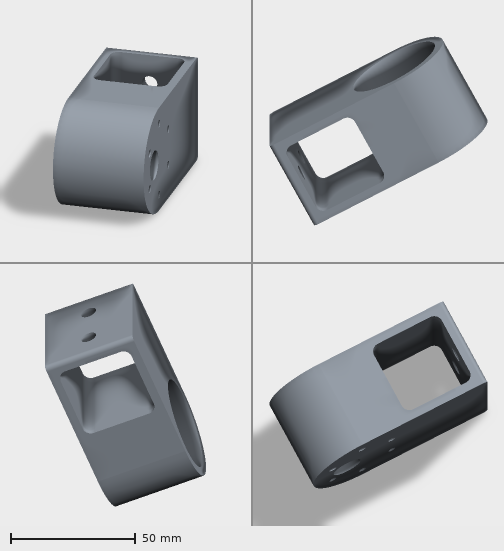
import cadquery as cq
import math

width = 38.0
length = 79.4
height = 44.8
nose_radius = height / 2
block_length = length - nose_radius
edge_fillet = 2.0

bore_diameter = 37.4
wall = 3.6
shaft_hole_diameter = 12.4
shaft_offset = 7.0
bolt_hole_diameter = 3.2
bolt_circle_radius = 15.5
bolt_count = 6

pocket_side = width - 2 * wall
pocket_end_wall = 4.5
pocket_corner_radius = 3.5
pocket_center_y = block_length - pocket_end_wall - pocket_side / 2
end_hole_diameter = 6.4
end_hole_height = 10.0


def side_cylinder(diameter, y, z, start_x, depth):
    """Cylinder along +X; the bore axis is at y = 0, z = 0."""
    return cq.Workplane("YZ", origin=(start_x, y, z)).circle(diameter / 2).extrude(depth)


body = (
    cq.Workplane("YZ", origin=(-width / 2, 0, 0))
    .moveTo(0, nose_radius)
    .lineTo(block_length, nose_radius)
    .lineTo(block_length, -nose_radius)
    .lineTo(0, -nose_radius)
    .threePointArc((-nose_radius, 0), (0, nose_radius))
    .close()
    .extrude(width)
    .faces(">Y")
    .edges("|X")
    .fillet(edge_fillet)
)

body = body.cut(side_cylinder(bore_diameter, 0, 0, -width / 2, width - wall))

floor_x = width / 2 - wall
body = body.cut(side_cylinder(shaft_hole_diameter, -shaft_offset, 0, floor_x, wall))
for i in range(bolt_count):
    angle = math.pi / 2 + i * 2 * math.pi / bolt_count
    bolt_y = bolt_circle_radius * math.cos(angle)
    bolt_z = bolt_circle_radius * math.sin(angle)
    body = body.cut(side_cylinder(bolt_hole_diameter, bolt_y, bolt_z, floor_x, wall))

pocket = (
    cq.Workplane("XY", origin=(0, pocket_center_y, 0))
    .box(pocket_side, pocket_side, height)
    .edges("|Z")
    .fillet(pocket_corner_radius)
)
body = body.cut(pocket)

end_holes = (
    cq.Workplane("XZ", origin=(0, block_length, 0))
    .pushPoints([(0, end_hole_height), (0, -end_hole_height)])
    .circle(end_hole_diameter / 2)
    .extrude(block_length - pocket_center_y)
)
result = body.cut(end_holes)